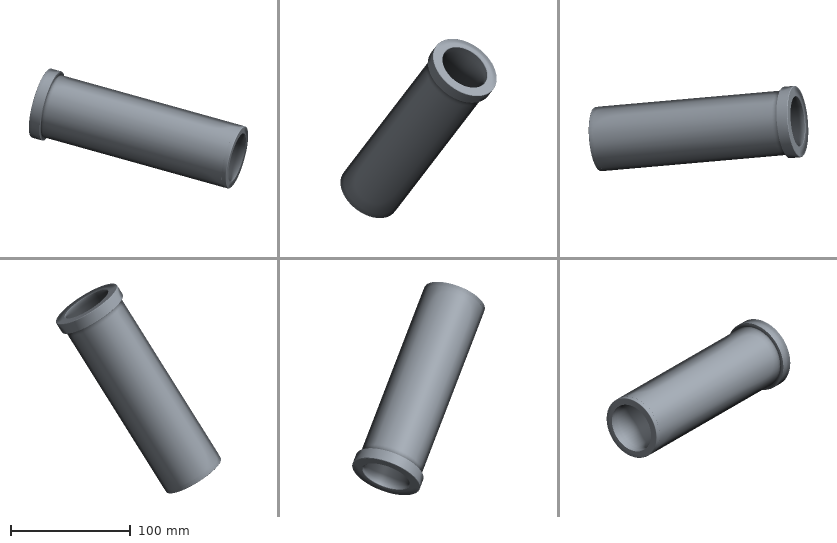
import cadquery as cq

total_length = 175.0
bore_diameter = 42.0
body_diameter = 54.0
flange_diameter = 60.0
flange_thickness = 9.6
face_chamfer = 0.4

groove_width = 1.0
groove_depth = 0.4

lead_length = 4.0
lead_diameter = 53.9
rim_radius = 0.5


def cylinder(start, length, diameter):
    """Solid cylinder on the X axis, beginning at X = start."""
    return cq.Workplane("YZ", origin=(start, 0, 0)).circle(diameter / 2).extrude(length)


groove_end = flange_thickness + groove_width
lead_start = total_length - lead_length

flange = cylinder(0, flange_thickness, flange_diameter)
groove = cylinder(flange_thickness, groove_width, body_diameter - 2 * groove_depth)
body = cylinder(groove_end, lead_start - groove_end, body_diameter)
lead = cylinder(lead_start, lead_length, lead_diameter).faces(">X").edges().fillet(rim_radius)
bore = cylinder(0, total_length, bore_diameter)

bushing = flange.union(groove).union(body).union(lead).cut(bore)
result = bushing.faces("<X").edges().chamfer(face_chamfer)